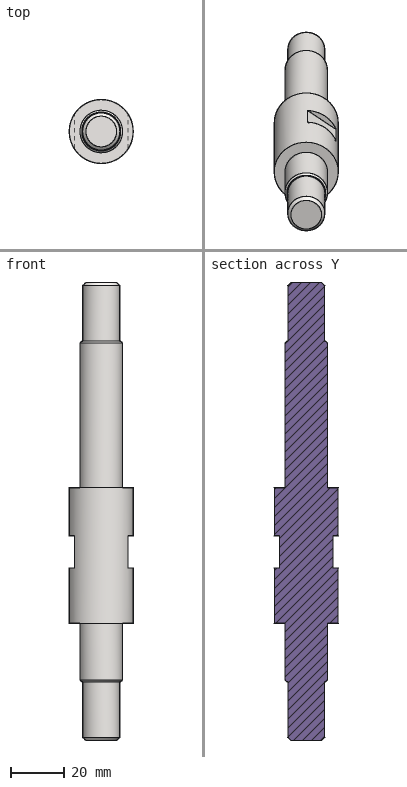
import cadquery as cq

total_length = 172.0
journal_length = 22.0
collar_bottom = 44.0
collar_length = 50.9

collar_diameter = 24.0
shaft_diameter = 16.0
journal_diameter = 14.0

end_chamfer = 1.2
shoulder_chamfer = 0.7

flat_spacing = 20.1
flat_height = 12.0
flat_drop = 18.0


def cylinder(diameter, bottom, length):
    """Solid cylinder about Z, starting at the given height."""
    return cq.Workplane("XY").workplane(offset=bottom).circle(diameter / 2).extrude(length)


def wrench_flat_cutter(side):
    """Block that removes the collar outside one flat; side is -1 or +1."""
    depth = (collar_diameter - flat_spacing) / 2
    center_x = side * (flat_spacing + depth) / 2
    center_z = collar_bottom + collar_length - flat_drop - flat_height / 2
    block = cq.Workplane("XY").box(depth, collar_diameter, flat_height)
    return block.translate((center_x, 0, center_z))


journals = cylinder(journal_diameter, 0, total_length).edges().chamfer(end_chamfer)

shaft_length = total_length - 2 * journal_length
shaft = cylinder(shaft_diameter, journal_length, shaft_length).edges().chamfer(shoulder_chamfer)

collar = cylinder(collar_diameter, collar_bottom, collar_length)
for side in (-1, 1):
    collar = collar.cut(wrench_flat_cutter(side))

result = journals.union(shaft).union(collar)